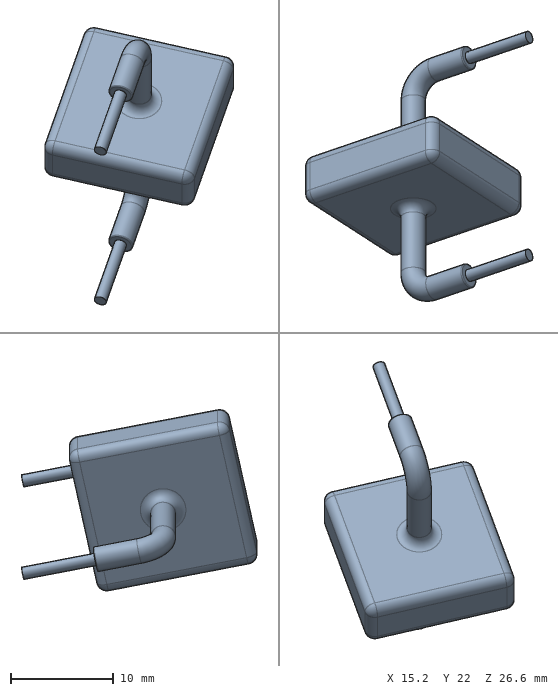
import cadquery as cq

body_width = 15.19
body_depth = 15.98
body_height = 5.05
edge_radius = 1.0

overall_height = 26.55
overall_depth = 22.0
sleeve_radius = 1.2
lower_sleeve_radius = 1.22
sleeve_reach = 6.75
sleeve_end_rounding = 0.1
core_radius = 0.6
root_fillet = 1.0
upper_bend_radius = 2.63
lower_bend_radius = 2.4
upper_lead_height = 13.28

lower_lead_height = overall_height - upper_lead_height
core_reach = overall_depth - body_depth / 2


def make_body():
    return cq.Workplane("XY").box(body_width, body_depth, body_height).edges().fillet(edge_radius)


def make_root_flare(radius):
    """Concave flare joining the body's top face to a sleeve."""
    face = body_height / 2
    return (
        cq.Workplane("XZ")
        .moveTo(0, 0)
        .lineTo(radius + root_fillet, 0)
        .lineTo(radius + root_fillet, face)
        .radiusArc((radius, face + root_fillet), root_fillet)
        .lineTo(0, face + root_fillet)
        .close()
        .revolve(360, (0, 0, 0), (0, 1, 0))
    )


def make_lead(outer_height, radius, bend_radius):
    """Upward lead: flare, bent sleeve and the bare core sticking out of it."""
    axis_height = outer_height - radius
    bend_start = axis_height - bend_radius
    post = cq.Workplane("XY").circle(radius).extrude(bend_start)
    bend = (
        cq.Workplane("XY", origin=(0, 0, bend_start))
        .circle(radius)
        .revolve(90, (0, -bend_radius, 0), (1, -bend_radius, 0))
    )
    arm = (
        cq.Workplane("XZ", origin=(0, -bend_radius, axis_height))
        .circle(radius)
        .extrude(sleeve_reach - bend_radius)
        .faces("<Y")
        .edges()
        .fillet(sleeve_end_rounding)
    )
    core = (
        cq.Workplane("XZ", origin=(0, -bend_radius, axis_height))
        .circle(core_radius)
        .extrude(core_reach - bend_radius)
    )
    return make_root_flare(radius).union(post).union(bend).union(arm).union(core)


upper_lead = make_lead(upper_lead_height, sleeve_radius, upper_bend_radius)
lower_lead = make_lead(lower_lead_height, lower_sleeve_radius, lower_bend_radius).mirror("XY")

result = make_body().union(upper_lead).union(lower_lead)